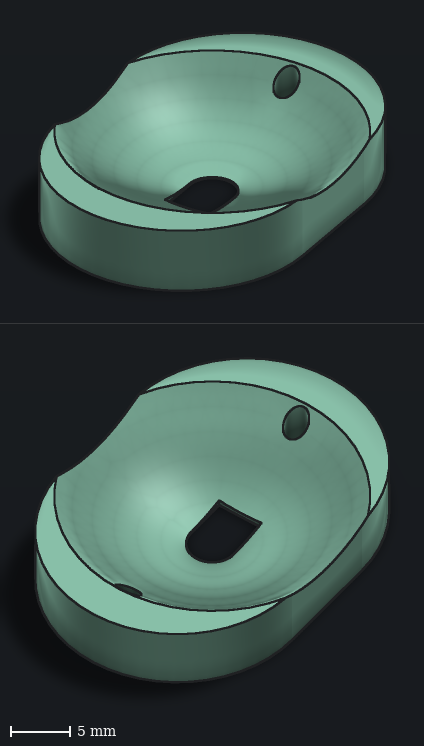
import cadquery as cq

length = 34.0
width = 24.0
height = 5.9

dish_radius = 18.0
dish_center_z = dish_radius

window_width = 4.42
window_straight_length = 4.0

screw_hole_diameter = 2.2
screw_hole_offset = width / 2


def make_body():
    return cq.Workplane("XY").slot2D(length, width, 90).extrude(height)


def make_dish():
    return cq.Workplane("XY").sphere(dish_radius).translate((0, 0, dish_center_z))


def make_window():
    half_width = window_width / 2
    return (
        cq.Workplane("XY")
        .moveTo(-half_width, -window_straight_length)
        .lineTo(half_width, -window_straight_length)
        .lineTo(half_width, 0)
        .threePointArc((0, half_width), (-half_width, 0))
        .close()
        .extrude(height)
    )


def make_screw_holes():
    return (
        cq.Workplane("XY")
        .pushPoints([(0, -screw_hole_offset), (0, screw_hole_offset)])
        .circle(screw_hole_diameter / 2)
        .extrude(height)
    )


result = make_body().cut(make_dish()).cut(make_window()).cut(make_screw_holes())